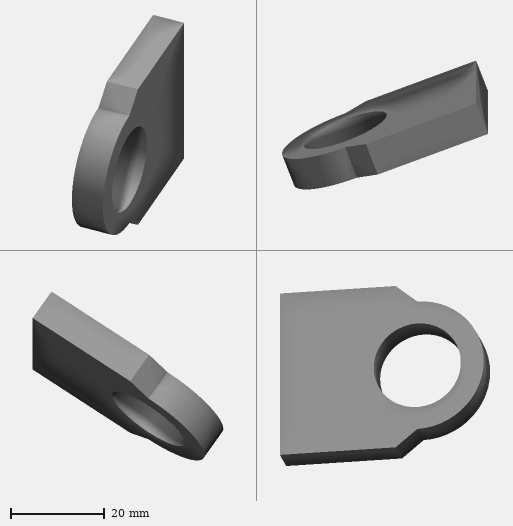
import cadquery as cq

thickness = 7.2
length = 44.5
height = 36.7
ring_radius = 14.5
hole_diameter = 19.0
shoulder_length = 25.28

back_y = length - ring_radius
shoulder_y = back_y - shoulder_length
half_height = height / 2

plate = (
    cq.Workplane("YZ")
    .moveTo(back_y, half_height)
    .lineTo(shoulder_y, half_height)
    .lineTo(0, ring_radius)
    .threePointArc((-ring_radius, 0), (0, -ring_radius))
    .lineTo(shoulder_y, -half_height)
    .lineTo(back_y, -half_height)
    .close()
    .extrude(thickness)
)

hole = cq.Workplane("YZ").circle(hole_diameter / 2).extrude(thickness)

result = plate.cut(hole)